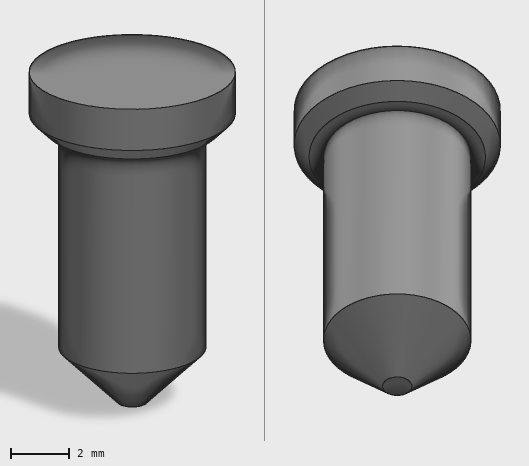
import cadquery as cq

total_length = 12.0
head_diameter = 7.0
head_height = 2.0
head_chamfer = 0.5
shank_diameter = 5.0
tip_length = 2.0

tip_diameter = shank_diameter - 2 * tip_length
shank_length = total_length - head_height - tip_length

shank = (
    cq.Workplane("XZ")
    .lineTo(tip_diameter / 2, 0)
    .lineTo(shank_diameter / 2, tip_length)
    .lineTo(shank_diameter / 2, tip_length + shank_length)
    .lineTo(0, tip_length + shank_length)
    .close()
    .revolve(360, (0, 0, 0), (0, 1, 0))
)

head = (
    cq.Workplane("XY", origin=(0, 0, tip_length + shank_length))
    .circle(head_diameter / 2)
    .extrude(head_height)
    .faces("<Z")
    .chamfer(head_chamfer)
)

result = shank.union(head)